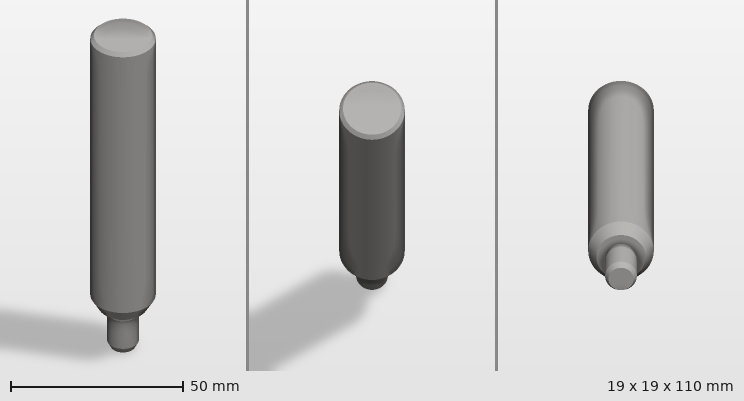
import cadquery as cq
import math

total_length = 110.0
rod_radius = 19.0 / 2
top_chamfer = 1.1
stud_radius = 9.2 / 2
neck_radius = 8.7 / 2
shoulder_z = 14.1
shoulder_taper_height = 4.1
shoulder_taper_angle = 30.0
neck_length = 2.1
tip_chamfer_radial = 1.0
tip_chamfer_height = 2.0

inlay_depth = 1.0
inlay_bottom_z = 26.1
inlay_top_z = 105.9

neck_bottom_z = shoulder_z - neck_length
neck_chamfer = stud_radius - neck_radius
shoulder_radius = rod_radius - shoulder_taper_height * math.tan(math.radians(shoulder_taper_angle))


def make_rod():
    """Rod, tapered shoulder, neck and stud as one revolved profile."""
    profile = [
        (0, 0),
        (stud_radius - tip_chamfer_radial, 0),
        (stud_radius, tip_chamfer_height),
        (stud_radius, neck_bottom_z - neck_chamfer),
        (neck_radius, neck_bottom_z),
        (neck_radius, shoulder_z),
        (shoulder_radius, shoulder_z),
        (rod_radius, shoulder_z + shoulder_taper_height),
        (rod_radius, total_length - top_chamfer),
        (rod_radius - top_chamfer, total_length),
        (0, total_length),
    ]
    return cq.Workplane("XZ").polyline(profile).close().revolve(360, (0, 0), (0, 1))


def make_inlay(rod, turn):
    """Strip between the rod surface and a flat, turned about Z from the -Y side."""
    flat_y = inlay_depth - rod_radius
    strip = (
        cq.Workplane("YZ")
        .polyline([
            (-rod_radius, inlay_bottom_z),
            (flat_y, inlay_bottom_z + inlay_depth),
            (flat_y, inlay_top_z - inlay_depth),
            (-rod_radius, inlay_top_z),
        ])
        .close()
        .extrude(rod_radius, both=True)
        .rotate((0, 0, 0), (0, 0, 1), turn)
    )
    return strip.intersect(rod)


rod_blank = make_rod()
inlays = [make_inlay(rod_blank, turn) for turn in (0, 180)]

handle = rod_blank
for inlay in inlays:
    handle = handle.cut(inlay)

result = cq.Compound.makeCompound([handle.val(), *[inlay.val() for inlay in inlays]])